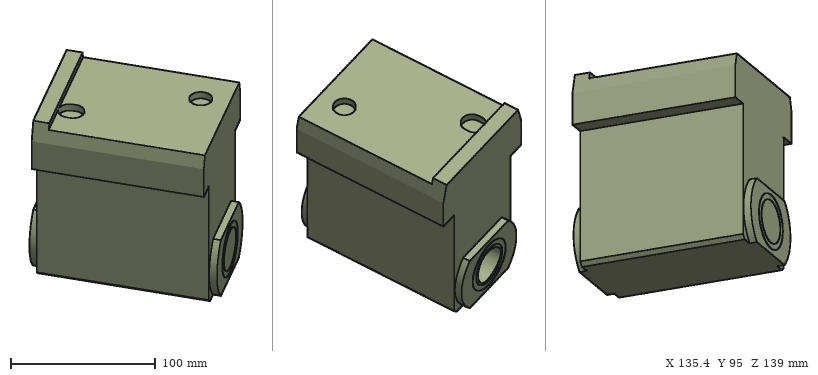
import cadquery as cq
import math

height = 139.0
body_length = 123.8
head_width = 95.0
head_height = 38.6
neck_width = 68.7
base_chamfer = 3.0
bevel_height = 14.9
bevel_angle = math.radians(15)

rib_length = 11.5
rib_height = 4.9

flange_diameter = 66.9
flange_height = 47.8
flange_thickness = 5.5
ring_outer_diameter = 40.0
ring_inner_diameter = 31.5
ring_height = 0.3

socket_mouth_radius = 13.8
socket_floor_radius = 13.0
socket_lobe = 0.63
socket_depth = 33.4
lobe_count = 3
curve_points = 36

hole_diameter = 16.0
hole_depth = 5.5
hole_x = 41.3
hole_y = 19.0
slot_travel = 2.5

half_length = body_length / 2
top_face_z = height - rib_height
axis_z = flange_height / 2
flange_face_x = half_length + flange_thickness


def make_body():
    """T-shaped profile extruded along X, with the top lowered behind the rib."""
    half_head = head_width / 2
    half_neck = neck_width / 2
    half_top = half_head - bevel_height * math.tan(bevel_angle)
    head_base_z = height - head_height
    right_side = [
        (half_neck - base_chamfer, 0),
        (half_neck, base_chamfer),
        (half_neck, head_base_z),
        (half_head, head_base_z),
        (half_head, height - bevel_height),
        (half_top, height),
    ]
    left_side = [(-y, z) for y, z in reversed(right_side)]
    block = (
        cq.Workplane("YZ", origin=(-half_length, 0, 0))
        .polyline(right_side + left_side)
        .close()
        .extrude(body_length)
    )
    lowered_top = cq.Workplane("XY").box(
        body_length - rib_length, head_width, rib_height, centered=(False, True, False)
    )
    return block.cut(lowered_top.translate((rib_length - half_length, 0, top_face_z)))


def make_flange():
    """Flange and raised ring on the +X end."""
    disc = (
        cq.Workplane("YZ", origin=(half_length, 0, axis_z))
        .circle(flange_diameter / 2)
        .extrude(flange_thickness)
    )
    flats = cq.Workplane("XY", origin=(half_length, 0, axis_z)).box(
        2 * flange_thickness, flange_diameter, flange_height
    )
    ring = (
        cq.Workplane("YZ", origin=(flange_face_x, 0, axis_z))
        .circle(ring_outer_diameter / 2)
        .circle(ring_inner_diameter / 2)
        .extrude(ring_height)
    )
    return disc.intersect(flats).union(ring)


def lobed_curve(mean_radius):
    """Points of a rounded three-lobed curve with one lobe towards -Y."""
    points = []
    for i in range(curve_points):
        angle = 2 * math.pi * i / curve_points
        reach = mean_radius + socket_lobe * math.cos(lobe_count * angle)
        slope = -lobe_count * socket_lobe * math.sin(lobe_count * angle)
        along = reach * math.cos(angle) - slope * math.sin(angle)
        across = reach * math.sin(angle) + slope * math.cos(angle)
        points.append((-along, across))
    return points


def make_socket():
    """Tapered socket volume, narrowing from the -X flange face inwards."""
    return (
        cq.Workplane("YZ", origin=(-flange_face_x, 0, axis_z))
        .spline(lobed_curve(socket_mouth_radius), periodic=True)
        .close()
        .workplane(offset=socket_depth)
        .spline(lobed_curve(socket_floor_radius), periodic=True)
        .close()
        .loft(ruled=True)
    )


def make_top_holes():
    """Round hole at the +X end and a short slot that just nicks the rib."""
    floor_z = top_face_z - hole_depth
    cut_height = hole_depth + rib_height
    round_hole = (
        cq.Workplane("XY", origin=(hole_x, hole_y, floor_z))
        .circle(hole_diameter / 2)
        .extrude(cut_height)
    )
    slot = (
        cq.Workplane("XY", origin=(-hole_x, -hole_y, floor_z))
        .slot2D(hole_diameter + slot_travel, hole_diameter)
        .extrude(cut_height)
    )
    return round_hole.union(slot)


flange = make_flange()
result = (
    make_body()
    .union(flange)
    .union(flange.mirror("YZ"))
    .cut(make_socket())
    .cut(make_top_holes())
)